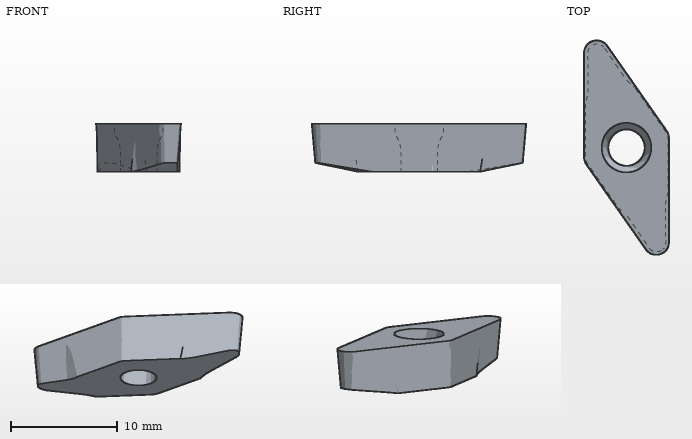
import cadquery as cq
import math

THICKNESS = 4.53
INSCRIBED_RADIUS = 4.0
TIP_ANGLE = 35.0
CORNER_RADIUS = 1.2
RELIEF_ANGLE = 5.0

SEAT_ANGLE = 1.0
SEAT_DEPTH = 0.8
SEAT_END = 5.7
RUN_OUT_RADIUS = 3.9

BEVEL_START = 5.33
BEVEL_ANGLE = 10.0

BORE_RADIUS = 1.7
THROAT_TOP_RADIUS = 2.19
RECESS_FLOOR_RADIUS = 2.26
RECESS_TOP_RADIUS = 2.33
RECESS_DEPTH = 0.88
THROAT_TOP_DEPTH = 1.09
THROAT_ROUND = 3.2

HALF_TIP = math.radians(TIP_ANGLE / 2)
HALF_LONG = INSCRIBED_RADIUS / math.sin(HALF_TIP)
HALF_SHORT = INSCRIBED_RADIUS / math.cos(HALF_TIP)
OVERSIZE = 2 * HALF_LONG


def tapered_rhombus(inset, top_z, draft):
    """Rounded rhombus, inset from the top outline, that narrows from top_z down to the bottom."""
    corners = [(HALF_SHORT, 0), (0, HALF_LONG), (-HALF_SHORT, 0), (0, -HALF_LONG)]
    return (
        cq.Workplane("XY", origin=(0, 0, top_z))
        .polyline(corners)
        .close()
        .offset2D(-CORNER_RADIUS)
        .offset2D(CORNER_RADIUS - inset)
        .extrude(-top_z, taper=draft)
    )


def run_out_cutter():
    """Wheel that ends one seat, with a block that clears its half of the tip beyond."""
    flank_to_tip = INSCRIBED_RADIUS / math.tan(HALF_TIP)
    half_width = (flank_to_tip - SEAT_END) * math.tan(HALF_TIP)
    wheel = (
        cq.Workplane("XY", origin=(-INSCRIBED_RADIUS - RUN_OUT_RADIUS, SEAT_END, THICKNESS))
        .circle(RUN_OUT_RADIUS)
        .extrude(2 * OVERSIZE, both=True)
    )
    block = (
        cq.Workplane("XY", origin=(half_width - INSCRIBED_RADIUS, SEAT_END, THICKNESS))
        .box(OVERSIZE, OVERSIZE, OVERSIZE, centered=(False, False, True))
        .translate((-OVERSIZE, 0, 0))
    )
    flank_top = (-INSCRIBED_RADIUS, 0, THICKNESS)
    flank_top_end = (-INSCRIBED_RADIUS, 1, THICKNESS)
    leaned = wheel.union(block).rotate(flank_top, flank_top_end, -RELIEF_ANGLE)
    return leaned.rotate((0, 0, 0), (0, 0, 1), -TIP_ANGLE / 2)


def seats():
    inset = SEAT_DEPTH * math.tan(math.radians(RELIEF_ANGLE))
    body = tapered_rhombus(inset, THICKNESS - SEAT_DEPTH, SEAT_ANGLE)
    left_up = run_out_cutter()
    right_up = left_up.mirror("YZ")
    for cutter in (left_up, right_up):
        body = body.cut(cutter).cut(cutter.mirror("XZ"))
    return body


def tip_bevel():
    """Block under the +Y tip, its upper face rising towards the tip."""
    return (
        cq.Workplane("XY", origin=(0, BEVEL_START, 0))
        .box(OVERSIZE, OVERSIZE, OVERSIZE, centered=(True, False, False))
        .translate((0, 0, -OVERSIZE))
        .rotate((0, BEVEL_START, 0), (1, BEVEL_START, 0), BEVEL_ANGLE)
    )


def screw_hole():
    """Solid of revolution that fills the hole, in the XZ half-plane."""
    top_cos = 1 - (THROAT_TOP_RADIUS - BORE_RADIUS) / THROAT_ROUND
    sweep = math.acos(top_cos)
    throat_top_z = THICKNESS - THROAT_TOP_DEPTH
    throat_end_z = throat_top_z - THROAT_ROUND * math.sin(sweep)
    throat_mid = (
        BORE_RADIUS + THROAT_ROUND * (1 - math.cos(sweep / 2)),
        throat_end_z + THROAT_ROUND * math.sin(sweep / 2),
    )
    return (
        cq.Workplane("XZ")
        .moveTo(0, 0)
        .lineTo(BORE_RADIUS, 0)
        .lineTo(BORE_RADIUS, throat_end_z)
        .threePointArc(throat_mid, (THROAT_TOP_RADIUS, throat_top_z))
        .lineTo(RECESS_FLOOR_RADIUS, THICKNESS - RECESS_DEPTH)
        .lineTo(RECESS_TOP_RADIUS, THICKNESS)
        .lineTo(0, THICKNESS)
        .close()
        .revolve(360, (0, 0, 0), (0, 1, 0))
    )


insert = tapered_rhombus(0, THICKNESS, RELIEF_ANGLE).union(seats())
bevel = tip_bevel()
insert = insert.cut(bevel).cut(bevel.mirror("XZ"))
insert = insert.cut(screw_hole())
result = insert.rotate((0, 0, 0), (0, 0, 1), TIP_ANGLE / 2)